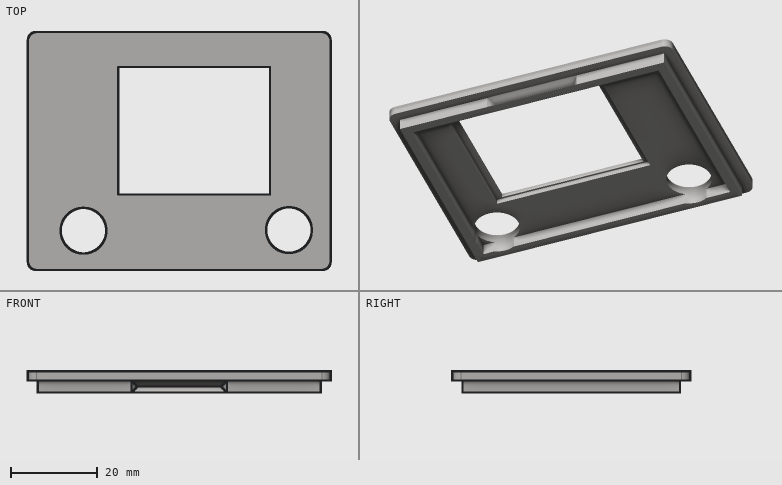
import cadquery as cq

length = 70.0
width = 55.0
height = 5.0
plate_thickness = 2.2
corner_radius = 2.0

rim_height = height - plate_thickness
rim_inset_x = 2.3
rim_inset_y = 2.4
rim_thickness = 2.2
rim_length = length - 2 * rim_inset_x
rim_width = width - 2 * rim_inset_y

window_length = 35.0
window_width = 29.4
window_center = (3.4, 4.7)
hole_diameter = 10.5
hole_centers = [(-22.1, -18.4), (25.35, -18.3)]

window_lip_thickness = 1.0
recess_margin_x = 1.5
recess_margin_y = 0.5

groove_length = 22.1
groove_depth = rim_height / 2


def make_plate():
    """Rounded plate whose underside lies at the top of the rim."""
    plate = cq.Workplane("XY").workplane(offset=rim_height).rect(length, width).extrude(plate_thickness)
    return plate.edges("|Z").fillet(corner_radius)


def make_rim():
    """Square-cornered rectangular wall standing below the plate."""
    outer = cq.Workplane("XY").rect(rim_length, rim_width).extrude(rim_height)
    inner = (
        cq.Workplane("XY")
        .rect(rim_length - 2 * rim_thickness, rim_width - 2 * rim_thickness)
        .extrude(rim_height)
    )
    return outer.cut(inner)


def make_front_groove():
    """Wedge that narrows to a horizontal line inside the front wall."""
    front_y = -rim_width / 2
    wedge = (
        cq.Workplane("YZ")
        .polyline([
            (front_y, 0),
            (front_y + groove_depth, rim_height / 2),
            (front_y, rim_height),
        ])
        .close()
        .extrude(groove_length / 2, both=True)
    )
    sloped_ends = (
        cq.Workplane("XY")
        .polyline([
            (-groove_length / 2, front_y),
            (groove_length / 2, front_y),
            (groove_length / 2 - groove_depth, front_y + groove_depth),
            (-groove_length / 2 + groove_depth, front_y + groove_depth),
        ])
        .close()
        .extrude(rim_height)
    )
    return wedge.intersect(sloped_ends)


window = cq.Workplane("XY").center(*window_center).rect(window_length, window_width).extrude(height)
recess = (
    cq.Workplane("XY")
    .center(*window_center)
    .rect(window_length + 2 * recess_margin_x, window_width + 2 * recess_margin_y)
    .extrude(height - window_lip_thickness)
)
holes = cq.Workplane("XY").pushPoints(hole_centers).circle(hole_diameter / 2).extrude(height)
front_groove = make_front_groove()
back_groove = front_groove.mirror("XZ")

plate = make_plate().cut(window).cut(recess)
rim = make_rim().cut(front_groove).cut(back_groove)
result = plate.union(rim).cut(holes)